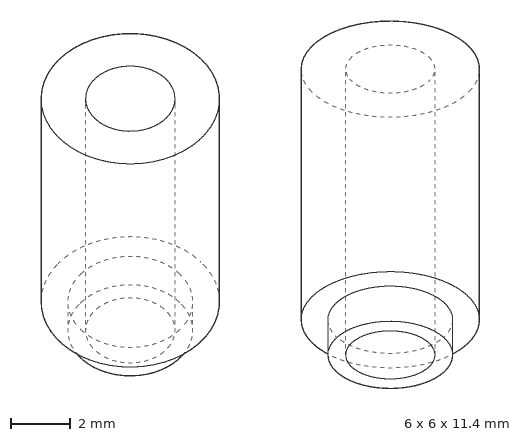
import cadquery as cq

total_height = 11.4
spigot_height = 1.4
body_diameter = 6.0
spigot_diameter = 4.2
bore_diameter = 3.0

body_height = total_height - spigot_height

spigot = cq.Workplane("XY").circle(spigot_diameter / 2).extrude(spigot_height)
sleeve = spigot.faces(">Z").workplane().circle(body_diameter / 2).extrude(body_height)

result = sleeve.faces(">Z").workplane().hole(bore_diameter)